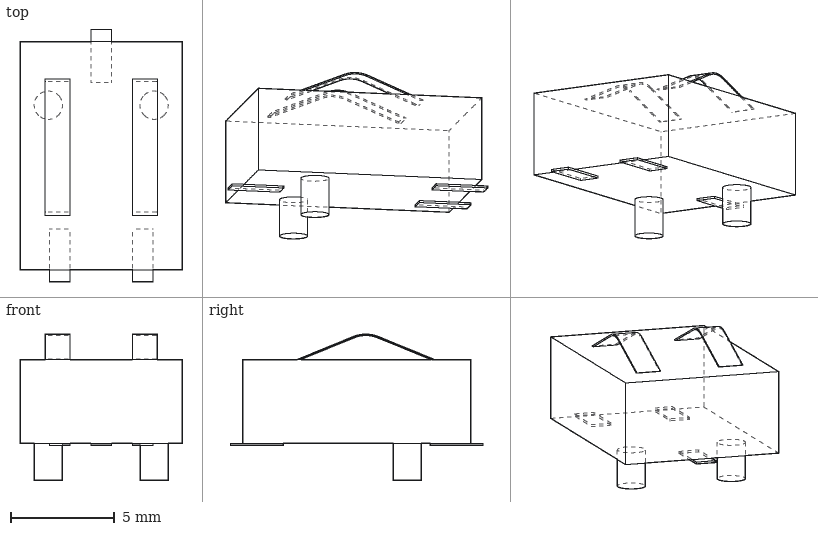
import cadquery as cq
import math

body_width = 7.82
body_length = 11.01
body_height = 4.03

pin_diameter = 1.36
pin_length = 1.79
pin_spacing = 5.1
pin_y = 2.44

overall_length = 12.18
tab_width = 1.0
tab_length = 2.55
tab_thickness = 0.1
tab_spacing = 4.01
tab_center_y = (overall_length - tab_length) / 2

spring_width = 1.2
spring_spacing = 4.2
spring_center_y = 0.44
spring_height = 1.24
spring_thickness = 0.07
spring_bend_radius = 1.55
spring_slope = math.radians(22.2)
spring_tip_height = 0.04
spring_toe_length = 0.07


def make_body():
    return cq.Workplane("XY").box(body_width, body_length, body_height, centered=(True, True, False))


def make_pins():
    centers = [(side * pin_spacing / 2, pin_y) for side in (-1, 1)]
    return cq.Workplane("XY").pushPoints(centers).circle(pin_diameter / 2).extrude(-pin_length)


def make_tabs():
    centers = [(side * tab_spacing / 2, -tab_center_y) for side in (-1, 1)]
    centers.append((0, tab_center_y))
    return cq.Workplane("XY").pushPoints(centers).rect(tab_width, tab_length).extrude(-tab_thickness)


def make_spring(center_x):
    """Strip with two straight legs joined by a tangent arc, its feet resting on the housing.

    The front foot ends in a short sloping toe and the back foot is undercut.
    """
    bend_center_z = body_height + spring_height - spring_bend_radius

    def bend_point(radius, angle):
        y = spring_center_y + radius * math.sin(angle)
        return y, bend_center_z + radius * math.cos(angle)

    def leg_point(radius, side, height):
        drop = bend_center_z + radius / math.cos(spring_slope) - body_height - height
        return spring_center_y + side * drop / math.tan(spring_slope), body_height + height

    outer = spring_bend_radius
    inner = spring_bend_radius - spring_thickness
    front_tip_y, front_tip_z = leg_point(outer, -1, spring_tip_height)
    return (
        cq.Workplane("YZ", origin=(center_x - spring_width / 2, 0, 0))
        .moveTo(front_tip_y - spring_toe_length, body_height)
        .lineTo(front_tip_y, front_tip_z)
        .lineTo(*bend_point(outer, -spring_slope))
        .threePointArc(bend_point(outer, 0), bend_point(outer, spring_slope))
        .lineTo(*leg_point(outer, 1, spring_tip_height))
        .lineTo(*leg_point(inner, 1, 0))
        .lineTo(*bend_point(inner, spring_slope))
        .threePointArc(bend_point(inner, 0), bend_point(inner, -spring_slope))
        .lineTo(*leg_point(inner, -1, 0))
        .close()
        .extrude(spring_width)
    )


result = make_body().union(make_pins()).union(make_tabs())
for side in (-1, 1):
    result = result.union(make_spring(side * spring_spacing / 2))